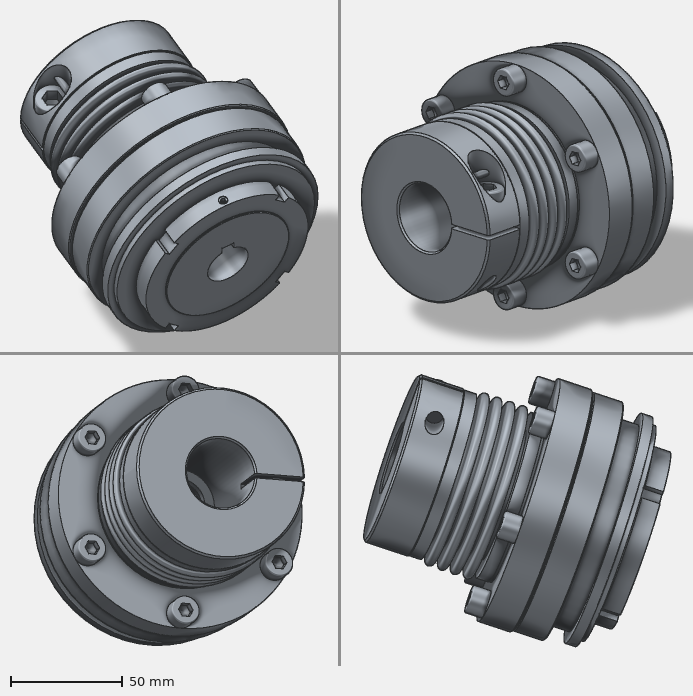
import cadquery as cq
import math


hub_end = 20.6
hub_radius = 39.6
hub_chamfer = 1.0
ring_radius = 39.3
neck_radius = 39.0
front_ring_start, front_ring_end = 21.1, 26.9
rear_ring_start, rear_ring_end = 53.3, 59.0
hub_bore_diameter = 32.1
hub_bore_chamfer = 0.8

crest_count = 4
crest_radius = 40.9
crest_width = 3.7
crest_pitch = 6.1
root_radius = 30.7

flange_start, flange_end = 60.2, 75.8
flange_radius = 57.5
gap_radius = 55.9
drum_start, drum_end = 76.4, 90.8
drum_radius = 56.5
rim_chamfer = 0.5
barrel_radius = 49.0
plate_start, plate_end = 100.5, 105.4
plate_radius = 54.5
shoulder_end = 108.0
shoulder_radius = 51.2

nut_face_radius = 35.7
nut_cone_end = 109.5
nut_end = 118.2
nut_radius = 42.0
nut_slot_width = 6.5
nut_slot_depth = 3.1
nut_slot_count = 4
total_length = 119.0
sleeve_radius = 31.9
sleeve_chamfer = 0.4
shaft_bore_diameter = 21.0
shaft_bore_chamfer = 1.2
keyway_width = 6.2
keyway_top = 13.3

set_screw_x = 114.7
set_screw_diameter = 4.2
set_screw_recess = 0.5
set_screw_hex = 2.1
set_screw_socket_depth = 2.0

screw_count = 6
screw_circle_radius = 50.9
screw_head_diameter = 13.0
screw_head_height = 8.3
screw_head_fillet = 0.8
screw_hex = 6.0
screw_socket_depth = 4.0

clamp_x = 10.5
clamp_y = -28.6
slit_width = 2.1
counterbore_diameter = 17.0
clamp_head_diameter = 16.0
clamp_head_height = 10.0
clamp_head_top = 19.0
clamp_head_fillet = 1.0
clamp_hex = 8.0
clamp_socket_depth = 6.0
clamp_shank_diameter = 10.5
clamp_shank_end = -11.9
thread_hole_diameter = 8.5
pin_diameter = 3.7
pin_y = -21.8
pin_z = 22.6

socket_cone_ratio = math.tan(math.radians(30))


def disc(start, end, radius):
    """Round disc on the shaft axis between two X stations."""
    return cq.Workplane("YZ").workplane(offset=start).circle(radius).extrude(end - start)


def upright_cylinder(x, y, bottom, top, diameter):
    """Cylinder parallel to Z."""
    return cq.Workplane("XY", origin=(x, y, bottom)).circle(diameter / 2).extrude(top - bottom)


def hex_socket(across_flats, depth):
    """Hexagonal socket below the origin, pointing down Z, with a conical bottom."""
    across_corners = across_flats / math.cos(math.radians(30))
    tip = depth + across_corners / 2 * socket_cone_ratio
    hexagon = cq.Workplane("XY").polygon(6, across_corners).extrude(-tip)
    drill_shape = (
        cq.Workplane("XZ")
        .moveTo(0, 0)
        .lineTo(across_corners / 2, 0)
        .lineTo(across_corners / 2, -depth)
        .lineTo(0, -tip)
        .close()
        .revolve(360, (0, 0), (0, 1))
    )
    return hexagon.intersect(drill_shape)


def socket_head(diameter, height, fillet, across_flats, socket_depth):
    """Screw head standing on Z = 0 with its socket on top."""
    head = cq.Workplane("XY").circle(diameter / 2).extrude(height).faces(">Z").edges().fillet(fillet)
    return head.cut(hex_socket(across_flats, socket_depth).translate((0, 0, height)))


def bellows():
    """Corrugated tube section with round crests and round roots."""
    half_crest = crest_width / 2
    root_fillet = crest_pitch / 2 - half_crest
    flank_bottom = root_radius + root_fillet
    flank_top = crest_radius - half_crest
    first_crest = (front_ring_end + rear_ring_start - (crest_count - 1) * crest_pitch) / 2
    crests = [first_crest + i * crest_pitch for i in range(crest_count)]

    profile = cq.Workplane("XY").moveTo(front_ring_end, 0).lineTo(front_ring_end, root_radius)
    profile = profile.lineTo(crests[0] - crest_pitch / 2, root_radius)
    profile = profile.tangentArcPoint((crests[0] - half_crest, flank_bottom), relative=False)
    for x in crests:
        left, right = x - half_crest, x + half_crest
        profile = profile.lineTo(left, flank_top).threePointArc((x, crest_radius), (right, flank_top))
        profile = profile.lineTo(right, flank_bottom)
        if x < crests[-1]:
            valley = x + crest_pitch / 2
            next_left = left + crest_pitch
            profile = profile.threePointArc((valley, root_radius), (next_left, flank_bottom))
    profile = profile.tangentArcPoint((crests[-1] + crest_pitch / 2, root_radius), relative=False)
    profile = profile.lineTo(rear_ring_start, root_radius).lineTo(rear_ring_start, 0).close()
    return profile.revolve(360, (0, 0, 0), (1, 0, 0))


def clamp_hub():
    """Hub with the slit and the clamp screw."""
    hub = disc(0, hub_end, hub_radius).faces("<X").edges().chamfer(hub_chamfer)
    hub = hub.union(disc(hub_end, front_ring_start, neck_radius))
    slit = cq.Workplane("XY").box(front_ring_start, hub_radius, slit_width, centered=(False, False, True))
    hub = hub.cut(slit.translate((0, -hub_radius, 0)))

    seat = clamp_head_top - clamp_head_height
    hub = hub.cut(upright_cylinder(clamp_x, clamp_y, seat, hub_radius, counterbore_diameter))
    hub = hub.cut(upright_cylinder(clamp_x, clamp_y, -hub_radius, 0, thread_hole_diameter))

    head = socket_head(
        clamp_head_diameter, clamp_head_height, clamp_head_fillet, clamp_hex, clamp_socket_depth
    )
    hub = hub.union(head.translate((clamp_x, clamp_y, seat)))
    hub = hub.union(upright_cylinder(clamp_x, clamp_y, clamp_shank_end, seat, clamp_shank_diameter))

    pin_start = clamp_x - counterbore_diameter / 2
    pin = cq.Workplane("YZ", origin=(pin_start, pin_y, pin_z)).circle(pin_diameter / 2)
    return hub.union(pin.extrude(counterbore_diameter))


def limiter_body():
    """Flange, drum, barrel and pressure plates."""
    flange = disc(flange_start, flange_end, flange_radius).faces(">X").edges().chamfer(rim_chamfer)
    drum = disc(drum_start, drum_end, drum_radius).edges().chamfer(rim_chamfer)
    body = flange.union(disc(flange_end, drum_start, gap_radius)).union(drum)
    body = body.union(disc(drum_end, plate_start, barrel_radius))
    body = body.union(disc(plate_start, plate_end, plate_radius))
    return body.union(disc(plate_end, shoulder_end, shoulder_radius))


def lock_nut():
    """Nut with a conical front face, slots around its rim and a set screw on top."""
    nut = (
        cq.Workplane("XY")
        .moveTo(shoulder_end, 0)
        .lineTo(shoulder_end, nut_face_radius)
        .lineTo(nut_cone_end, nut_radius)
        .lineTo(nut_end, nut_radius)
        .lineTo(nut_end, 0)
        .close()
        .revolve(360, (0, 0, 0), (1, 0, 0))
    )
    slot_floor = nut_radius - nut_slot_depth
    slot_length = nut_end - shoulder_end
    slot = (
        cq.Workplane("XY")
        .box(slot_length, nut_slot_width, 2 * nut_slot_depth, centered=(False, True, False))
        .translate((shoulder_end, 0, slot_floor))
    )
    step = 360 / nut_slot_count
    for i in range(nut_slot_count):
        nut = nut.cut(slot.rotate((0, 0, 0), (1, 0, 0), (i + 0.5) * step))

    screw_face = nut_radius - set_screw_recess
    nut = nut.cut(upright_cylinder(set_screw_x, 0, screw_face, nut_radius, set_screw_diameter))
    socket = hex_socket(set_screw_hex, set_screw_socket_depth)
    return nut.cut(socket.translate((set_screw_x, 0, screw_face)))


def flange_screw(angle):
    """Screw head on the flange front, at an angle about X measured from +Z toward +Y."""
    head = socket_head(
        screw_head_diameter, screw_head_height, screw_head_fillet, screw_hex, screw_socket_depth
    )
    head = head.rotate((0, 0, 0), (0, 0, 1), 90).rotate((0, 0, 0), (0, 1, 0), -90)
    turn = math.radians(angle)
    y = screw_circle_radius * math.sin(turn)
    z = screw_circle_radius * math.cos(turn)
    return head.translate((flange_start, y, z))


def chamfered_bore(start, end, diameter, chamfer):
    """Cutter for a bore along X with a chamfered mouth at its start."""
    radius = diameter / 2
    return (
        cq.Workplane("XY")
        .moveTo(start, 0)
        .lineTo(start, radius + chamfer)
        .lineTo(start + chamfer, radius)
        .lineTo(end, radius)
        .lineTo(end, 0)
        .close()
        .revolve(360, (0, 0, 0), (1, 0, 0))
    )


def keyway():
    """Cutter for the keyway above the shaft bore."""
    length = total_length - flange_start
    key = cq.Workplane("XY").box(length, keyway_width, keyway_top, centered=(False, True, False))
    return key.translate((flange_start, 0, 0))


coupling = clamp_hub()
coupling = coupling.union(disc(front_ring_start, front_ring_end, ring_radius))
coupling = coupling.union(bellows())
coupling = coupling.union(disc(rear_ring_start, rear_ring_end, ring_radius))
coupling = coupling.union(disc(rear_ring_end, flange_start, neck_radius))
coupling = coupling.union(limiter_body())
coupling = coupling.union(lock_nut())
sleeve_end = disc(nut_end, total_length, sleeve_radius).faces(">X").edges().chamfer(sleeve_chamfer)
coupling = coupling.union(sleeve_end)
for i in range(screw_count):
    coupling = coupling.union(flange_screw(i * 360 / screw_count))

coupling = coupling.cut(chamfered_bore(0, flange_start, hub_bore_diameter, hub_bore_chamfer))
coupling = coupling.cut(
    chamfered_bore(flange_start, total_length, shaft_bore_diameter, shaft_bore_chamfer)
)
result = coupling.cut(keyway())